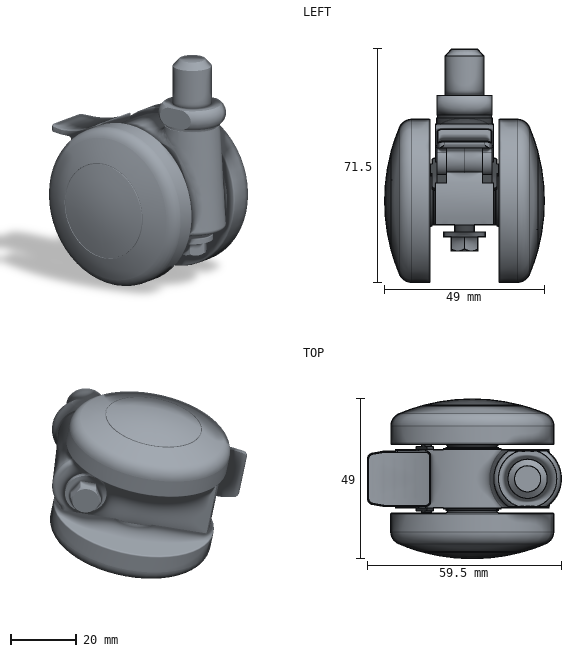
import cadquery as cq
import math


AMPLE = 143.0

WHEEL_R = 25.0
WHEEL_INNER_Y = 10.5
RIM_EDGE_ROUND = 0.4
RIM_OUTER_Y = 16.2
RIM_ARC_MIDDLE = (24.25, 18.5)
DOME_EDGE_R = 22.45
DOME_EDGE_Y = 19.95
OVERALL_WIDTH = 49.0
DOME_TOP_Y = OVERALL_WIDTH / 2
DOME_RADIUS = (DOME_EDGE_R**2 + (DOME_TOP_Y - DOME_EDGE_Y) ** 2) / (2 * (DOME_TOP_Y - DOME_EDGE_Y))
RING_INNER_R = 14.8
RING_OUTER_R = 15.1
RING_DEPTH = 0.2
HUB_NARROW_R = 7.4
HUB_WIDE_R = 8.0

BARREL_R = 23.5
BARREL_HALF_WIDTH = 8.95
BOSS_STEPS = [(8.9, 9.3), (HUB_WIDE_R, 9.65)]
BOSS_OUTER_Y = BOSS_STEPS[-1][1]
HOUSING_BOTTOM_Z = -7.4
NECK_TOP_Z = 25.45
NECK_TOP_R = 8.5
NECK_BOTTOM_R = 10.4
NECK_BOTTOM_ROUND = 1.2
NECK_BARREL_FILLET = 2.5
COLLAR_R = 8.3
SLOT_FLOOR_Z = 5.5
SLOT_BACK_X = -14.3
SLOT_NOSE_X = -16.4
SLOT_NOSE_Z = 16.3
SLOT_NOSE_ROUND = 0.7

STEM_X = 16.95
THREAD_R = 6.0
THREAD_TIP_R = 4.0
THREAD_TIP_HEIGHT = 2.15
STEM_TOP_Z = 46.5
NUT_BOTTOM_Z = 26.3
NUT_TOP_Z = 32.3
NUT_FACE_R = 8.95
NUT_MAX_R = 10.4
NUT_FLATS = 16.95
BOLT_R = 3.0
WASHER_R = 6.35
WASHER_TOP_Z = -9.5
WASHER_BOTTOM_Z = -11.0
HEX_FLATS = 8.2
HEX_BOTTOM_Z = -15.4
HEX_CHAMFER = 0.65

LEVER_WIDTH = 16.95
LEVER_HALF_WIDTH = LEVER_WIDTH / 2
LEVER_TIP_X = -32.1
LEVER_BACK_X = -12.8
PLATE_TIP_Z = 18.4
PLATE_ARC_POINT = (-20.65, 18.8)
PLATE_BACK_Z = 22.2
PLATE_BOTTOM_Z = 16.15
PLATE_TIP_ROUND = 1.0
PLATE_EDGE_BREAK = 0.35
LEVER_HUB_R = 4.65
LEVER_HUB_X = -19.45
LEVER_HUB_Z = 12.65
THUMB_TAPER_X = -27.2
THUMB_TIP_HALF_WIDTH = 7.6
THUMB_ROUND = 1.8
LEVER_BACK_ROUND = 1.4
THROAT_R = 0.9
LEVER_CORE_R = 4.5
ARM_INNER_Y = 5.6

BAR_FOOT = (-17.3, 3.85)
BAR_TILT = 20.4
BAR_LENGTH = 9.9
BAR_THICKNESS = 2.15
BAR_RELIEF = 0.3
BAR_HALF_WIDTH = 9.95
BAR_CORNER_ROUND = 0.85
PAD_HALF_WIDTH = 10.45
PAD_START = 4.8
PAD_LENGTH = 3.15


def y_cylinder(radius, half_width):
    return cq.Workplane("XZ").circle(radius).extrude(half_width, both=True)


def z_cylinder(radius, bottom, top):
    return cq.Workplane("XY", origin=(STEM_X, 0, bottom)).circle(radius).extrude(top - bottom)


def slab(x_size, y_size, z_size, bottom):
    """Box centred on X and Y that stands on the given Z."""
    base = cq.Workplane("XY", origin=(0, 0, bottom))
    return base.box(x_size, y_size, z_size, centered=(True, True, False))


def dome_height(radius):
    """Y of the spherical outer face at a distance from the wheel axis."""
    return DOME_TOP_Y - DOME_RADIUS + math.sqrt(DOME_RADIUS**2 - radius**2)


def make_wheel():
    """Wheel on the +Y side: domed outer face, rounded rim, flared hub."""
    mid_r = DOME_EDGE_R / 2
    wheel = (
        cq.Workplane("XY")
        .moveTo(0, BOSS_OUTER_Y)
        .lineTo(HUB_NARROW_R, BOSS_OUTER_Y)
        .lineTo(HUB_WIDE_R, WHEEL_INNER_Y)
        .lineTo(WHEEL_R - RIM_EDGE_ROUND, WHEEL_INNER_Y)
        .radiusArc((WHEEL_R, WHEEL_INNER_Y + RIM_EDGE_ROUND), -RIM_EDGE_ROUND)
        .lineTo(WHEEL_R, RIM_OUTER_Y)
        .threePointArc(RIM_ARC_MIDDLE, (DOME_EDGE_R, DOME_EDGE_Y))
        .threePointArc((mid_r, dome_height(mid_r)), (0, DOME_TOP_Y))
        .close()
        .revolve(360, (0, 0, 0), (0, 1, 0))
    )
    ring = (
        cq.Workplane("XZ", origin=(0, dome_height(RING_OUTER_R) - RING_DEPTH, 0))
        .circle(RING_OUTER_R)
        .circle(RING_INNER_R)
        .extrude(-WHEEL_R)
    )
    return wheel.cut(ring)


def make_stem():
    """Chamfered stud, flange nut with two flats, and the bolt, washer and hexagon head below."""
    stem = z_cylinder(THREAD_R, NUT_TOP_Z, STEM_TOP_Z)
    stem = stem.faces(">Z").chamfer(THREAD_TIP_HEIGHT, THREAD_R - THREAD_TIP_R)
    nut = (
        cq.Workplane("XZ")
        .moveTo(0, NUT_BOTTOM_Z)
        .lineTo(NUT_FACE_R, NUT_BOTTOM_Z)
        .threePointArc((NUT_MAX_R, (NUT_BOTTOM_Z + NUT_TOP_Z) / 2), (NUT_FACE_R, NUT_TOP_Z))
        .lineTo(0, NUT_TOP_Z)
        .close()
        .revolve(360, (0, 0, 0), (0, 1, 0))
        .translate((STEM_X, 0, 0))
    )
    flats = slab(AMPLE, NUT_FLATS, STEM_TOP_Z, 0)
    bolt = z_cylinder(BOLT_R, WASHER_BOTTOM_Z, NUT_BOTTOM_Z)
    washer = z_cylinder(WASHER_R, WASHER_BOTTOM_Z, WASHER_TOP_Z)
    hex_height = WASHER_BOTTOM_Z - HEX_BOTTOM_Z
    hex_corner_r = HEX_FLATS / math.sqrt(3)
    head = (
        cq.Workplane("XY", origin=(STEM_X, 0, HEX_BOTTOM_Z))
        .polygon(6, 2 * hex_corner_r)
        .extrude(hex_height)
    )
    rounding = z_cylinder(hex_corner_r, HEX_BOTTOM_Z, WASHER_BOTTOM_Z).faces("<Z").chamfer(HEX_CHAMFER)
    return stem.union(nut.intersect(flats)).union(bolt).union(washer).union(head.intersect(rounding))


def make_bar():
    """Bar along Y, built upright at the origin and then tilted; its front is relieved between the ears."""
    corner = (False, True, False)
    bar = (
        cq.Workplane("XY")
        .box(BAR_THICKNESS, 2 * BAR_HALF_WIDTH, BAR_LENGTH, centered=corner)
        .edges("|X")
        .fillet(BAR_CORNER_ROUND)
    )
    pads = (
        cq.Workplane("XY", origin=(0, 0, PAD_START))
        .box(BAR_THICKNESS, 2 * PAD_HALF_WIDTH, PAD_LENGTH, centered=corner)
    )
    relief = cq.Workplane("XY").box(BAR_RELIEF, 2 * LEVER_HALF_WIDTH, BAR_LENGTH, centered=corner)
    bar = bar.union(pads).cut(relief)
    return bar.rotate((0, 0, 0), (0, 1, 0), BAR_TILT).translate((BAR_FOOT[0], 0, BAR_FOOT[1]))


def make_thumb_plate():
    """Curved plate with a thick web behind it, trimmed to its rounded plan outline."""
    side = (
        cq.Workplane("XZ")
        .moveTo(LEVER_TIP_X + PLATE_TIP_ROUND, PLATE_BOTTOM_Z)
        .radiusArc((LEVER_TIP_X, PLATE_BOTTOM_Z + PLATE_TIP_ROUND), PLATE_TIP_ROUND)
        .lineTo(LEVER_TIP_X, PLATE_TIP_Z)
        .threePointArc(PLATE_ARC_POINT, (LEVER_BACK_X, PLATE_BACK_Z))
        .lineTo(LEVER_BACK_X, LEVER_HUB_Z)
        .lineTo(LEVER_HUB_X, LEVER_HUB_Z)
        .lineTo(LEVER_HUB_X, PLATE_BOTTOM_Z)
        .close()
        .extrude(LEVER_HALF_WIDTH, both=True)
    )
    plan = (
        cq.Workplane("XY")
        .moveTo(LEVER_BACK_X, LEVER_HALF_WIDTH)
        .lineTo(THUMB_TAPER_X, LEVER_HALF_WIDTH)
        .lineTo(LEVER_TIP_X, THUMB_TIP_HALF_WIDTH)
        .lineTo(LEVER_TIP_X, -THUMB_TIP_HALF_WIDTH)
        .lineTo(THUMB_TAPER_X, -LEVER_HALF_WIDTH)
        .lineTo(LEVER_BACK_X, -LEVER_HALF_WIDTH)
        .close()
        .extrude(STEM_TOP_Z)
        .edges("|Z and <X")
        .fillet(THUMB_ROUND)
        .edges("|Z and >X")
        .fillet(LEVER_BACK_ROUND)
    )
    return side.intersect(plan).faces(">Z").edges().chamfer(PLATE_EDGE_BREAK)


def make_throat():
    """Concave fillet that joins the hub to the underside of the thumb plate."""
    reach = LEVER_HUB_R + THROAT_R
    centre_z = PLATE_BOTTOM_Z - THROAT_R
    rise = centre_z - LEVER_HUB_Z
    run = math.sqrt(reach**2 - rise**2)
    on_hub = (LEVER_HUB_X - run * LEVER_HUB_R / reach, LEVER_HUB_Z + rise * LEVER_HUB_R / reach)
    return (
        cq.Workplane("XZ")
        .moveTo(LEVER_HUB_X - run, PLATE_BOTTOM_Z)
        .radiusArc(on_hub, THROAT_R)
        .lineTo(LEVER_HUB_X, LEVER_HUB_Z)
        .lineTo(LEVER_HUB_X, PLATE_BOTTOM_Z)
        .close()
        .extrude(LEVER_HALF_WIDTH, both=True)
    )


def make_lever():
    """Thumb plate on a hub with a slightly thinner core between its arms, joined to the brake bar."""
    arms = y_cylinder(LEVER_HUB_R, LEVER_HALF_WIDTH).translate((LEVER_HUB_X, 0, LEVER_HUB_Z))
    arms = arms.union(make_throat())
    arms = arms.cut(slab(AMPLE, 2 * ARM_INNER_Y, AMPLE, 0))
    core = y_cylinder(LEVER_CORE_R, ARM_INNER_Y).translate((LEVER_HUB_X, 0, LEVER_HUB_Z))
    return make_thumb_plate().union(arms).union(core).union(make_bar())


def make_barrel_and_neck():
    """Barrel and tapered neck, blended by a fillet, then trimmed to the barrel width."""
    barrel = y_cylinder(BARREL_R, BARREL_R)
    neck = (
        cq.Workplane("XY", origin=(STEM_X, 0, HOUSING_BOTTOM_Z))
        .circle(NECK_BOTTOM_R)
        .workplane(offset=NECK_TOP_Z - HOUSING_BOTTOM_Z)
        .circle(NECK_TOP_R)
        .loft()
    )
    above_bottom = slab(AMPLE, AMPLE, AMPLE, HOUSING_BOTTOM_Z)
    body = barrel.intersect(above_bottom).union(neck)
    seam = body.edges(cq.selectors.BoxSelector((0, -BARREL_R, 0), (BARREL_R, BARREL_R, BARREL_R)))
    body = seam.fillet(NECK_BARREL_FILLET)
    body = body.intersect(slab(AMPLE, 2 * BARREL_HALF_WIDTH, AMPLE, HOUSING_BOTTOM_Z))
    foot = body.faces("<Z").edges(">X")
    return foot.fillet(NECK_BOTTOM_ROUND)


def make_side_slot():
    """Slot beside the lever on the +Y side; a rounded nose overhangs its back."""
    return (
        cq.Workplane("XZ", origin=(0, ARM_INNER_Y, 0))
        .moveTo(-BARREL_R, SLOT_FLOOR_Z)
        .lineTo(SLOT_BACK_X, SLOT_FLOOR_Z)
        .lineTo(SLOT_BACK_X, SLOT_NOSE_Z)
        .lineTo(SLOT_NOSE_X + SLOT_NOSE_ROUND, SLOT_NOSE_Z)
        .radiusArc((SLOT_NOSE_X, SLOT_NOSE_Z + SLOT_NOSE_ROUND), SLOT_NOSE_ROUND)
        .lineTo(SLOT_NOSE_X, BARREL_R)
        .lineTo(-BARREL_R, BARREL_R)
        .close()
        .extrude(-BARREL_HALF_WIDTH)
    )


def make_housing(lever, stem):
    body = make_barrel_and_neck()
    for radius, outer_y in BOSS_STEPS:
        boss = y_cylinder(radius, outer_y)
        body = body.union(boss.intersect(slab(AMPLE, AMPLE, AMPLE, HOUSING_BOTTOM_Z)))
    body = body.union(z_cylinder(COLLAR_R, NECK_TOP_Z, NUT_BOTTOM_Z))
    slot = make_side_slot()
    body = body.cut(slot).cut(slot.mirror("XZ"))
    return body.cut(lever).cut(stem)


lever = make_lever()
stem = make_stem()
housing = make_housing(lever, stem)
wheels = [make_wheel().rotate((0, 0, 0), (0, 0, 1), turn) for turn in (0, 180)]

result = cq.Compound.makeCompound(
    [housing.val(), lever.val(), stem.val(), *[wheel.val() for wheel in wheels]]
)